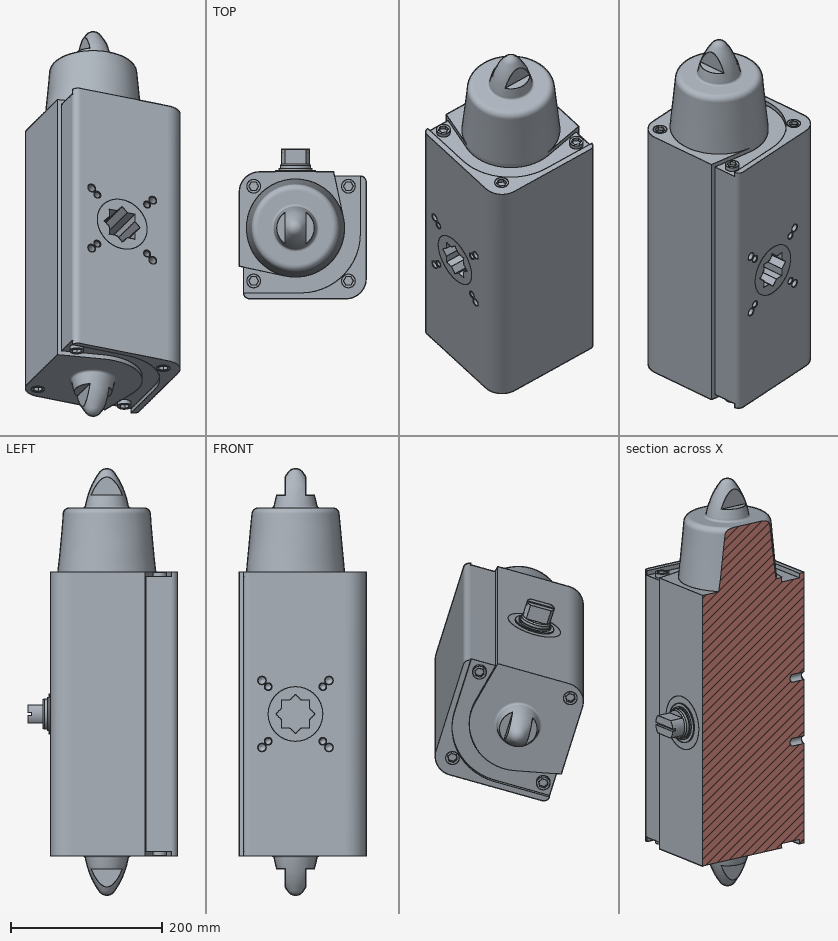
import cadquery as cq
import math


TOTAL_HEIGHT = 564
BODY_HEIGHT = 375.5
NEAR_SIDE = 74.5
FAR_SIDE = 93.5
SIDE_STEP = 5.5
LARGE_CORNER = 27.0
SMALL_CORNER = 8.5
BODY_TOP = BODY_HEIGHT / 2

COVER_BASE_RADIUS = 65.0
PAD_ANGLE = math.radians(12)
LEDGE_DEPTH = 6.0
LEDGE_ARC_RADIUS = 78.5

SCREW_CENTER = 7.5
SCREW_OFFSET = 62.5
SCREW_HEAD = 18.0
SCREW_SUNK = 0.5
HEX_ACROSS_CORNERS = 13.0
HEX_DEPTH = 5.0

COVER_HEIGHT = 84.5
COVER_TOP_RADIUS = 57.0
COVER_ROUND = 8.5

TIP_HEIGHT = (TOTAL_HEIGHT - BODY_HEIGHT - COVER_HEIGHT) / 2
TIP_BASE_RADIUS = 28.0
TIP_SHOULDER_RADIUS = 25.0
TIP_SHOULDER_HEIGHT = 17.0
TIP_CAP_RADIUS = 10.0
TIP_CAP_HEIGHT = 5.5
TIP_BLADE = 27.5
TIP_FILLET = 3.5

SHAFT_DIAMETER = 72.0
COLLAR_DIAMETER = 53.0
COLLAR_HEIGHT = 1.5
RING_DIAMETER = 44.0
RING_HEIGHT = 2.0
NECK_DIAMETER = 40.0
NECK_HEIGHT = 4.0
NECK_TAPER_HEIGHT = 2.0
TANG_DIAMETER = 37.0
TANG_FLATS = 24.0
SHAFT_PROJECTION = 30.0
SLOT_WIDTH = 3.5
SLOT_DEPTH = 4.5
STAR_SQUARE = 36.5
STAR_DEPTH = 67.5

MOUNT_PATTERNS = [(102.0, 8.5, 10.0), (125.0, 10.0, 11.0)]
MOUNT_DEPTH = 20.5
DRILL_POINT = 118


def pad_edge(y):
    """X of the straight pad edge at a given y; the edge is tangent to the cover base."""
    return (COVER_BASE_RADIUS - y * math.sin(PAD_ANGLE)) / math.cos(PAD_ANGLE)


def make_block():
    """Plain housing block with its rounded corners."""
    inner = NEAR_SIDE - SIDE_STEP
    block = (
        cq.Workplane("XY", origin=(0, 0, -BODY_TOP))
        .moveTo(-NEAR_SIDE, NEAR_SIDE)
        .lineTo(pad_edge(NEAR_SIDE), NEAR_SIDE)
        .lineTo(pad_edge(inner), inner)
        .lineTo(FAR_SIDE, inner)
        .lineTo(FAR_SIDE, -FAR_SIDE)
        .lineTo(-inner, -FAR_SIDE)
        .lineTo(-inner, -pad_edge(inner))
        .lineTo(-NEAR_SIDE, -pad_edge(NEAR_SIDE))
        .close()
        .extrude(BODY_HEIGHT)
    )
    large = cq.selectors.SumSelector(
        cq.NearestToPointSelector((-NEAR_SIDE, NEAR_SIDE, 0)),
        cq.NearestToPointSelector((FAR_SIDE, -FAR_SIDE, 0)),
    )
    small = cq.selectors.SumSelector(
        cq.NearestToPointSelector((FAR_SIDE, inner, 0)),
        cq.NearestToPointSelector((-inner, -FAR_SIDE, 0)),
    )
    block = block.edges("|Z").edges(large).fillet(LARGE_CORNER)
    return block.edges("|Z").edges(small).fillet(SMALL_CORNER)


def make_ledge_cut():
    """Removed layer under the top face: everything inside the rim except the raised pad."""
    reach = FAR_SIDE
    wall = SCREW_CENTER + LEDGE_ARC_RADIUS
    floor = BODY_TOP - LEDGE_DEPTH
    inside_rim = (
        cq.Workplane("XY", origin=(0, 0, floor))
        .moveTo(-reach, reach)
        .lineTo(wall, reach)
        .lineTo(wall, -SCREW_CENTER)
        .radiusArc((SCREW_CENTER, -wall), LEDGE_ARC_RADIUS)
        .lineTo(-reach, -wall)
        .close()
        .extrude(LEDGE_DEPTH)
    )
    tangent_x = COVER_BASE_RADIUS * math.cos(PAD_ANGLE)
    tangent_y = COVER_BASE_RADIUS * math.sin(PAD_ANGLE)
    pad = (
        cq.Workplane("XY", origin=(0, 0, floor))
        .moveTo(-reach, reach)
        .lineTo(pad_edge(reach), reach)
        .lineTo(tangent_x, tangent_y)
        .radiusArc((-tangent_y, -tangent_x), COVER_BASE_RADIUS)
        .lineTo(-reach, -pad_edge(reach))
        .close()
        .extrude(LEDGE_DEPTH)
    )
    return inside_rim.cut(pad)


def at_screws(plane):
    """Select the four screw positions on a workplane."""
    return plane.center(SCREW_CENTER, -SCREW_CENTER).rect(
        2 * SCREW_OFFSET, 2 * SCREW_OFFSET, forConstruction=True
    ).vertices()


def finish_top_end(block):
    """Ledge and four socket-head screws at the +Z end."""
    seat = cq.Workplane("XY", origin=(0, 0, BODY_TOP - LEDGE_DEPTH))
    head_top = cq.Workplane("XY", origin=(0, 0, BODY_TOP - SCREW_SUNK))
    counterbores = at_screws(seat).circle(SCREW_HEAD / 2).extrude(LEDGE_DEPTH)
    heads = at_screws(seat).circle(SCREW_HEAD / 2).extrude(LEDGE_DEPTH - SCREW_SUNK)
    sockets = at_screws(head_top).polygon(6, HEX_ACROSS_CORNERS).extrude(-HEX_DEPTH)
    return block.cut(make_ledge_cut()).cut(counterbores).union(heads).cut(sockets)


def make_cover():
    top = BODY_TOP + COVER_HEIGHT
    cover = (
        cq.Workplane("XZ")
        .moveTo(0, BODY_TOP)
        .lineTo(COVER_BASE_RADIUS, BODY_TOP)
        .lineTo(COVER_TOP_RADIUS, top)
        .lineTo(0, top)
        .close()
        .revolve(360, (0, 0), (0, 1))
    )
    return cover.faces(">Z").edges().fillet(COVER_ROUND)


def make_tip():
    """Bullet-shaped tip standing on z = 0, flattened on its two X sides."""
    cap_base = TIP_HEIGHT - TIP_CAP_HEIGHT
    cap_sphere = (TIP_CAP_RADIUS**2 + TIP_CAP_HEIGHT**2) / (2 * TIP_CAP_HEIGHT)
    bullet = (
        cq.Workplane("XZ")
        .moveTo(0, 0)
        .lineTo(TIP_BASE_RADIUS + TIP_FILLET, 0)
        .radiusArc((TIP_BASE_RADIUS, TIP_FILLET), TIP_FILLET)
        .threePointArc((TIP_SHOULDER_RADIUS, TIP_SHOULDER_HEIGHT), (TIP_CAP_RADIUS, cap_base))
        .radiusArc((0, TIP_HEIGHT), -cap_sphere)
        .close()
        .revolve(360, (0, 0), (0, 1))
    )
    side_width = 2 * TIP_BASE_RADIUS
    for side in (-1, 1):
        side_cut = cq.Workplane("XY", origin=(0, 0, TIP_SHOULDER_HEIGHT)).box(
            side_width, side_width, TIP_HEIGHT, centered=(True, True, False)
        )
        bullet = bullet.cut(side_cut.translate((side * (TIP_BLADE + side_width) / 2, 0, 0)))
    return bullet


def make_mount_holes():
    """Blind drilled holes with chamfered mouths in the -Y face, four per bolt circle."""
    holes = cq.Workplane("XY")
    for bolt_circle, diameter, mouth in MOUNT_PATTERNS:
        radius = diameter / 2
        chamfer = (mouth - diameter) / 2
        point_depth = radius / math.tan(math.radians(DRILL_POINT / 2))
        drill = (
            cq.Workplane("XY")
            .lineTo(mouth / 2, 0)
            .lineTo(radius, chamfer)
            .lineTo(radius, MOUNT_DEPTH)
            .lineTo(0, MOUNT_DEPTH + point_depth)
            .close()
            .revolve(360, (0, 0), (0, 1))
        )
        offset = bolt_circle / 2 * math.sqrt(0.5)
        for x in (-offset, offset):
            for z in (-offset, offset):
                holes = holes.add(drill.translate((x, -FAR_SIDE, z)))
    return holes.combine()


def shaft_section(diameter, start, end, end_diameter=None):
    """Round shaft length along Y from start to end, tapering if end_diameter is given."""
    end_radius = (end_diameter or diameter) / 2
    return (
        cq.Workplane("XY")
        .moveTo(0, start)
        .lineTo(diameter / 2, start)
        .lineTo(end_radius, end)
        .lineTo(0, end)
        .close()
        .revolve(360, (0, 0), (0, 1))
    )


def make_housing():
    block = finish_top_end(make_block())
    block = finish_top_end(block.mirror("XY"))
    block = block.mirror("XY")
    tip = make_tip()
    upper_tip = tip.translate((0, 0, BODY_TOP + COVER_HEIGHT))
    lower_tip = tip.mirror("XY").translate((0, 0, -BODY_TOP))
    housing = block.union(make_cover()).union(upper_tip).union(lower_tip)
    shaft_bore = shaft_section(SHAFT_DIAMETER, -FAR_SIDE, NEAR_SIDE)
    return housing.cut(shaft_bore).cut(make_mount_holes())


def make_tang(start, end):
    """Driving end of the shaft: round with two flats and a slot across its face."""
    length = end - start
    tang = shaft_section(TANG_DIAMETER, start, end)
    flats = cq.Workplane("XY").box(TANG_DIAMETER, length, TANG_FLATS)
    slot = cq.Workplane("XY").box(TANG_DIAMETER, 2 * SLOT_DEPTH, SLOT_WIDTH)
    tang = tang.intersect(flats.translate((0, start + length / 2, 0)))
    return tang.cut(slot.translate((0, end, 0)))


def make_star_socket():
    """Eight-pointed socket: two squares turned 45 degrees to each other."""
    square = cq.Workplane("XY").box(STAR_SQUARE, STAR_DEPTH, STAR_SQUARE)
    star = square.union(square.rotate((0, 0, 0), (0, 1, 0), 45))
    return star.translate((0, STAR_DEPTH / 2 - FAR_SIDE, 0))


def make_shaft():
    collar_end = NEAR_SIDE + COLLAR_HEIGHT
    ring_end = collar_end + RING_HEIGHT
    neck_end = ring_end + NECK_HEIGHT
    taper_end = neck_end + NECK_TAPER_HEIGHT
    shaft = shaft_section(SHAFT_DIAMETER, -FAR_SIDE, NEAR_SIDE)
    shaft = shaft.union(shaft_section(COLLAR_DIAMETER, NEAR_SIDE, collar_end))
    shaft = shaft.union(shaft_section(RING_DIAMETER, collar_end, ring_end))
    shaft = shaft.union(shaft_section(NECK_DIAMETER, ring_end, neck_end))
    shaft = shaft.union(shaft_section(NECK_DIAMETER, neck_end, taper_end, TANG_DIAMETER))
    shaft = shaft.union(make_tang(taper_end, NEAR_SIDE + SHAFT_PROJECTION))
    return shaft.cut(make_star_socket())


housing = make_housing()
shaft = make_shaft()

result = cq.Compound.makeCompound([housing.val(), shaft.val()])